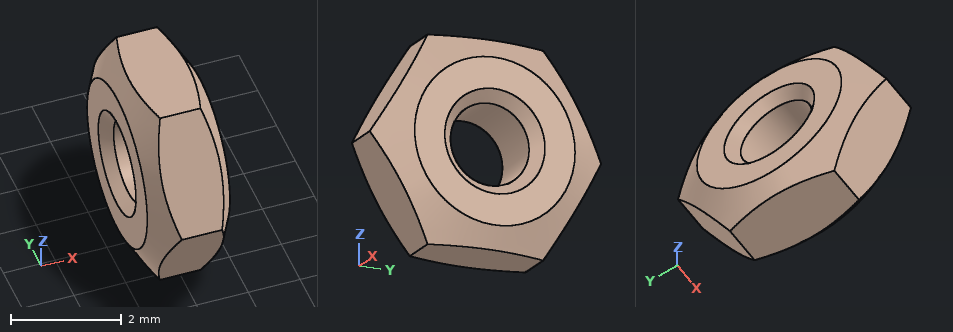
import cadquery as cq
import math

across_corners = 4.62
thickness = 1.6
face_diameter = 3.2
bevel_angle = 30.0
bore_diameter = 1.565
countersink_diameter = 2.0
countersink_angle = 45.0

half_thickness = thickness / 2
corner_radius = across_corners / 2
face_radius = face_diameter / 2
bore_radius = bore_diameter / 2
countersink_radius = countersink_diameter / 2


def slope_depth(radial_run, angle):
    """Axial distance covered by a cone over a radial run."""
    return radial_run * math.tan(math.radians(angle))


def hex_prism():
    return (
        cq.Workplane("YZ")
        .polygon(6, across_corners)
        .extrude(half_thickness, both=True)
    )


def turned_profile():
    """Ring with bevelled rims and a countersunk bore, revolved about X."""
    rim_x = half_thickness - slope_depth(corner_radius - face_radius, bevel_angle)
    bore_end_x = half_thickness - slope_depth(countersink_radius - bore_radius, countersink_angle)
    return (
        cq.Workplane("XY")
        .moveTo(-bore_end_x, bore_radius)
        .lineTo(-half_thickness, countersink_radius)
        .lineTo(-half_thickness, face_radius)
        .lineTo(-rim_x, corner_radius)
        .lineTo(rim_x, corner_radius)
        .lineTo(half_thickness, face_radius)
        .lineTo(half_thickness, countersink_radius)
        .lineTo(bore_end_x, bore_radius)
        .close()
        .revolve(360, (0, 0, 0), (1, 0, 0))
    )


result = hex_prism().intersect(turned_profile())